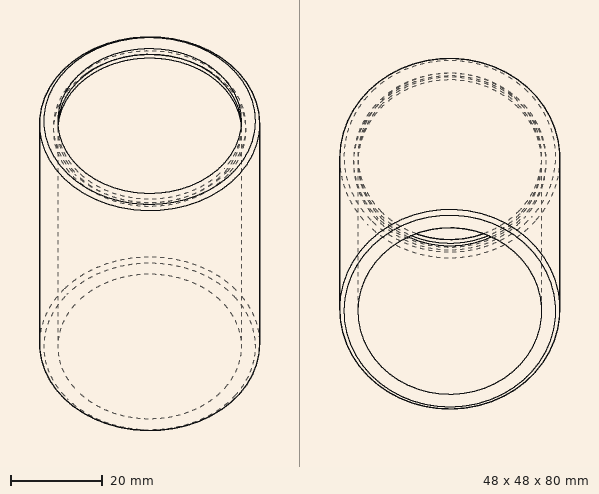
import cadquery as cq

length = 80.0
outer_diameter = 48.0
bore_diameter = 40.0
edge_chamfer = 1.0

lip_height = 2.0
groove_width = 1.4
groove_depth = 1.0


def make_sleeve():
    """Tube along Z with both outer rims chamfered."""
    body = cq.Workplane("XY").circle(outer_diameter / 2).extrude(length)
    body = body.faces("<Z or >Z").edges().chamfer(edge_chamfer)
    bore = cq.Workplane("XY").circle(bore_diameter / 2).extrude(length)
    return body.cut(bore)


def make_groove():
    """Disc that widens the bore just below the upper lip."""
    groove_floor = length - lip_height - groove_width
    groove_radius = bore_diameter / 2 + groove_depth
    return cq.Workplane("XY").workplane(offset=groove_floor).circle(groove_radius).extrude(groove_width)


result = make_sleeve().cut(make_groove())